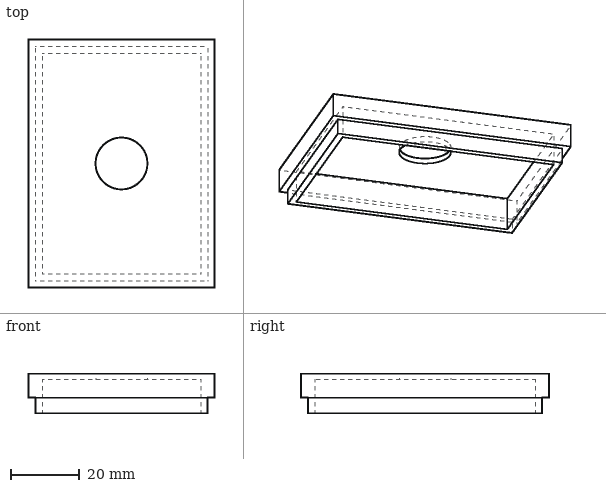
import cadquery as cq

length = 72.0
width = 54.0
height = 11.5
plate_thickness = 7.0

rim_inset = 2.0
rim_width = width - 2 * rim_inset
rim_length = length - 2 * rim_inset

skin_thickness = 1.65
wall_thickness = 2.0
hole_diameter = 15.0


def box_from_base(size_x, size_y, size_z, base_z):
    """Box centred on the Z axis, standing on the height base_z."""
    box = cq.Workplane("XY").box(size_x, size_y, size_z, centered=(True, True, False))
    return box.translate((0, 0, base_z))


plate = box_from_base(width, length, plate_thickness, height - plate_thickness)
rim = box_from_base(rim_width, rim_length, height, 0)

cavity = box_from_base(
    rim_width - 2 * wall_thickness,
    rim_length - 2 * wall_thickness,
    height - skin_thickness,
    0,
)

hole = cq.Workplane("XY").circle(hole_diameter / 2).extrude(height)

result = plate.union(rim).cut(cavity).cut(hole)